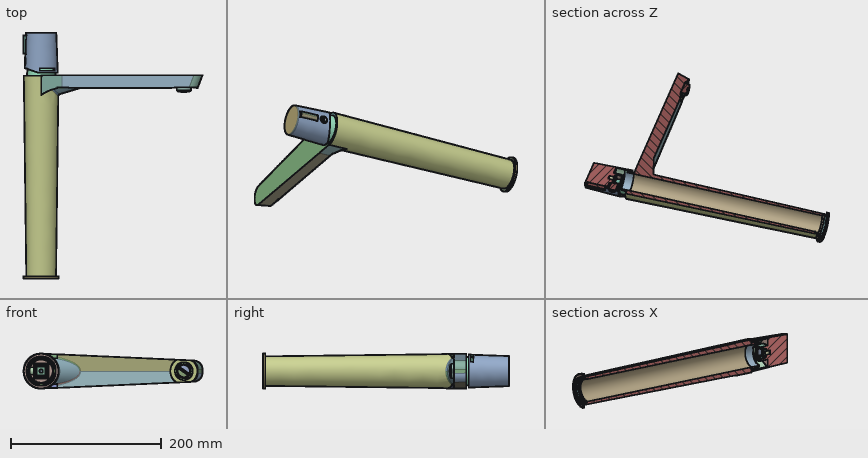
import cadquery as cq
import math


TOTAL_HEIGHT = 327.0

FLANGE_RADIUS = 23.5
FLANGE_THICKNESS = 3.3
FLANGE_CHAMFER = 0.5
FLANGE_HOLE_RADIUS = 19.3

TOWER_TOP = 269.7
TOWER_FOOT_RADIUS = 20.0
TOWER_TOP_RADIUS = 23.2
SPIGOT_LENGTH = 1.3
ENTRY_RADIUS = 17.0
ENTRY_DEPTH = 5.0
COUNTERBORE_RADIUS = 16.5
COUNTERBORE_DEPTH = 7.5
BORE_RADIUS = 15.5

SPOUT_TOP = 270.5
SPOUT_KEEL = 253.0
SPOUT_REACH = 214.5
SPOUT_ROOT_HALF_WIDTH = 23.2
SPOUT_KINK_X = 27.0
SPOUT_KINK_HALF_WIDTH = 22.2
SPOUT_TIP_HALF_WIDTH = 13.7
SPOUT_TIP_SLANT = 6.5
SPOUT_TIP_FILLET = 11.8
KEEL_RISE = 1.0

SKIRT_BOTTOM = 244.0
SKIRT_LENGTH = 21.3
SKIRT_MIDDLE_X = 9.8
SKIRT_MIDDLE_Y = 249.5

GUSSET_RADIUS = 21.0
GUSSET_TIP_X = 51.3
GUSSET_TILT = 17.0
GUSSET_FILLET = 2.3

AERATOR_X = 189.5
PAD_RADIUS = 18.0
PAD_LEVEL = 254.0
AERATOR_HOLE_RADIUS = 11.95
AERATOR_HOLE_DEPTH = 1.5
AERATOR_RADIUS = 9.5
AERATOR_SHOULDER = 250.5
AERATOR_RIM = 248.8
AERATOR_RIM_RADIUS = 8.2
AERATOR_BOTTOM = 247.8
COIN_SLOT_WIDTH = 2.3
COIN_SLOT_DEPTH = 1.5
COIN_SLOT_ANGLE = 35.0

NECK_RADIUS = 19.3
NECK_BORE_RADIUS = BORE_RADIUS
NECK_MIDDLE_RADIUS = 18.5
NECK_TOP = 282.5
NECK_TOP_RADIUS = 17.0

HANDLE_BOTTOM = 273.3
HANDLE_BOTTOM_RADIUS = 22.2
HANDLE_TOP_RADIUS = 20.3
HANDLE_TOP_FILLET = 1.0
RELIEF_X = -3.0
RELIEF_EDGE_Y = 280.0
CAVITY_RADIUS = NECK_RADIUS
CAVITY_TOP = 295.5
WINDOW_BOTTOM = 276.3
WINDOW_HEIGHT = 3.3
WINDOW_ANGLE = 60.0
WINDOW_START = -5.0

SOCKET_BOTTOM = 282.8
SOCKET_BOSS_SIZE = 20.3
SOCKET_LEAD_SIZE = 17.5
SOCKET_LEAD_DEPTH = 1.5
SOCKET_SIZE = 13.7
SOCKET_DEPTH = 8.2
INNER_SOCKET_SIZE = 11.0
INNER_SOCKET_DEPTH = 2.0
SOCKET_SCREW_DIAMETER = 4.5
SOCKET_SCREW_DEPTH = 6.5

BUTTON_Y = 288.7
BUTTON_RADIUS = 5.07
BUTTON_INNER_X = -8.2
BUTTON_OUTER_X = -21.5
BUTTON_CHAMFER = 1.0

BAR_CENTRE_Y = 311.0
BAR_LENGTH = 25.0
BAR_WIDTH = 8.2
BAR_INNER_X = -17.0
BAR_OUTER_X = -23.5
BAR_FILLET = 3.5
BAR_POCKET_GAP = 0.3


def tower_plane(height):
    """Plane across the tower axis, whose normal points up the tower."""
    return cq.Workplane(cq.Plane((0, height, 0), (1, 0, 0), (0, 1, 0)))


def disc(radius, bottom, top, x=0.0):
    return tower_plane(bottom).center(x, 0).circle(radius).extrude(top - bottom)


def square_block(size, bottom, top):
    return tower_plane(bottom).rect(size, size).extrude(top - bottom)


def revolved(profile):
    """Turn a closed (radius, height) profile about the tower axis."""
    return profile.close().revolve(360, (0, 0, 0), (0, 1, 0))


def cone(bottom_radius, bottom, top_radius, top):
    outline = cq.Workplane("XY").polyline([(0, bottom), (bottom_radius, bottom), (top_radius, top), (0, top)])
    return revolved(outline)


def edges_between(body, x_range, y_range):
    """Edges whose middle lies in the X and Y ranges, within the gusset's width."""
    low = (x_range[0], y_range[0], -GUSSET_RADIUS)
    high = (x_range[1], y_range[1], GUSSET_RADIUS)
    return body.edges(cq.selectors.BoxSelector(low, high))


def make_flange():
    ring = disc(FLANGE_RADIUS, 0, FLANGE_THICKNESS)
    ring = ring.faces("<Y").edges().chamfer(FLANGE_CHAMFER)
    return ring.cut(disc(FLANGE_HOLE_RADIUS, 0, FLANGE_THICKNESS))


def spout_plan(bottom, top):
    """The spout's tapered outline seen along the tower axis, as a prism."""
    root, kink, tip = SPOUT_ROOT_HALF_WIDTH, SPOUT_KINK_HALF_WIDTH, SPOUT_TIP_HALF_WIDTH
    outline = [
        (0, root), (SPOUT_KINK_X, kink), (SPOUT_REACH, tip),
        (SPOUT_REACH, -tip), (SPOUT_KINK_X, -kink), (0, -root),
    ]
    return tower_plane(bottom).polyline(outline).close().extrude(top - bottom)


def make_spout():
    root, tip = SPOUT_ROOT_HALF_WIDTH, SPOUT_TIP_HALF_WIDTH
    spout = spout_plan(SPOUT_KEEL, SPOUT_TOP)

    side = [
        (0, SPOUT_KEEL), (SPOUT_REACH - SPOUT_TIP_SLANT, SPOUT_KEEL),
        (SPOUT_REACH, SPOUT_TOP), (0, SPOUT_TOP),
    ]
    spout = spout.intersect(cq.Workplane("XY").polyline(side).close().extrude(root, both=True))
    middle_height = (SPOUT_KEEL + SPOUT_TOP) / 2
    slanted_corners = edges_between(
        spout, (SPOUT_REACH - SPOUT_TIP_SLANT, SPOUT_REACH), (middle_height - 3.3, middle_height + 3.3))
    spout = slanted_corners.filter(lambda edge: abs(edge.Center().z) > tip / 2).fillet(SPOUT_TIP_FILLET)

    keel = [
        (SPOUT_KEEL, 0), (SPOUT_KEEL + KEEL_RISE, root), (SPOUT_TOP, root),
        (SPOUT_TOP, -root), (SPOUT_KEEL + KEEL_RISE, -root),
    ]
    spout = spout.intersect(cq.Workplane("YZ").polyline(keel).close().extrude(SPOUT_REACH))
    return spout.cut(disc(PAD_RADIUS, SPOUT_KEEL - 3.3, PAD_LEVEL, AERATOR_X))


def make_skirt():
    """Wedge between the spout's side walls whose curved underside ends level with the keel."""
    ceiling = SPOUT_KEEL + KEEL_RISE
    profile = (
        cq.Workplane("XY")
        .moveTo(0, ceiling)
        .lineTo(0, SKIRT_BOTTOM)
        .threePointArc((SKIRT_MIDDLE_X, SKIRT_MIDDLE_Y), (SKIRT_LENGTH, SPOUT_KEEL))
        .lineTo(SKIRT_LENGTH, ceiling)
        .close()
    )
    wedge = profile.extrude(SPOUT_ROOT_HALF_WIDTH, both=True)
    return wedge.intersect(spout_plan(SKIRT_BOTTOM, ceiling))


def make_gusset():
    """Tilted cylinder whose lowest line rises to the keel at the gusset tip."""
    tilt = math.radians(GUSSET_TILT)
    along = (math.cos(tilt), math.sin(tilt), 0)
    length = GUSSET_TIP_X / math.cos(tilt)
    start = (
        -GUSSET_RADIUS * math.sin(tilt),
        SPOUT_KEEL - GUSSET_TIP_X * math.tan(tilt) + GUSSET_RADIUS * math.cos(tilt),
        0,
    )
    boss = cq.Workplane(cq.Plane(start, (0, 0, 1), along)).circle(GUSSET_RADIUS).extrude(2 * length)
    below_spout = cq.Workplane("XY").box(2 * GUSSET_TIP_X, SPOUT_TOP, 4 * GUSSET_RADIUS)
    below_spout = below_spout.translate((GUSSET_TIP_X, SPOUT_KEEL + KEEL_RISE - SPOUT_TOP / 2, 0))
    return boss.intersect(below_spout)


def make_arm(gusset):
    """Spout and gusset together, with the gusset's run-out into the underside rounded."""
    arm = make_spout().union(gusset)
    run_out = edges_between(arm, (0, GUSSET_TIP_X + 3.3), (SPOUT_KEEL - KEEL_RISE, SPOUT_KEEL + KEEL_RISE))
    return run_out.fillet(GUSSET_FILLET)


def make_tower():
    gusset = make_gusset()
    tower = cone(TOWER_FOOT_RADIUS, FLANGE_THICKNESS, TOWER_TOP_RADIUS, TOWER_TOP).union(gusset)
    corner = edges_between(tower, (GUSSET_FILLET, TOWER_TOP_RADIUS), (0, SPOUT_KEEL + 2 * KEEL_RISE))
    tower = corner.fillet(GUSSET_FILLET)
    tower = tower.union(make_arm(gusset)).union(make_skirt())
    tower = tower.union(disc(FLANGE_HOLE_RADIUS, FLANGE_THICKNESS - SPIGOT_LENGTH, FLANGE_THICKNESS))
    tower = tower.cut(disc(BORE_RADIUS, 0, SPOUT_TOP))
    tower = tower.cut(disc(COUNTERBORE_RADIUS, 0, COUNTERBORE_DEPTH))
    tower = tower.cut(disc(ENTRY_RADIUS, 0, ENTRY_DEPTH))
    tower = tower.cut(disc(NECK_RADIUS, TOWER_TOP, SPOUT_TOP))
    seat_top = PAD_LEVEL + AERATOR_HOLE_DEPTH
    return tower.cut(disc(AERATOR_HOLE_RADIUS, PAD_LEVEL - 3.3, seat_top, AERATOR_X))


def make_aerator():
    top = PAD_LEVEL + AERATOR_HOLE_DEPTH
    dome_middle = AERATOR_BOTTOM + (AERATOR_RIM - AERATOR_BOTTOM) / 4
    profile = (
        cq.Workplane("XY")
        .moveTo(0, top)
        .lineTo(AERATOR_RADIUS, top)
        .lineTo(AERATOR_RADIUS, AERATOR_SHOULDER)
        .lineTo(AERATOR_RIM_RADIUS, AERATOR_RIM)
        .threePointArc((AERATOR_RIM_RADIUS / 2, dome_middle), (0, AERATOR_BOTTOM))
    )
    aerator = revolved(profile)
    slot = cq.Workplane("XY").box(2 * AERATOR_RADIUS, 2 * COIN_SLOT_DEPTH, COIN_SLOT_WIDTH)
    slot = slot.rotate((0, 0, 0), (0, 1, 0), COIN_SLOT_ANGLE)
    slot = slot.translate((0, AERATOR_BOTTOM, 0))
    return aerator.cut(slot).translate((AERATOR_X, 0, 0))


def make_neck():
    profile = (
        cq.Workplane("XY")
        .moveTo(NECK_BORE_RADIUS, TOWER_TOP)
        .lineTo(NECK_RADIUS, TOWER_TOP)
        .threePointArc((NECK_MIDDLE_RADIUS, (TOWER_TOP + NECK_TOP) / 2), (NECK_TOP_RADIUS, NECK_TOP))
        .lineTo(NECK_BORE_RADIUS, NECK_TOP)
    )
    return revolved(profile)


def make_button():
    depth = BUTTON_INNER_X - BUTTON_OUTER_X
    button = cq.Workplane("YZ", origin=(BUTTON_OUTER_X, 0, 0)).center(BUTTON_Y, 0)
    button = button.circle(BUTTON_RADIUS).extrude(depth)
    return button.faces("<X").chamfer(BUTTON_CHAMFER)


def bar_block(grow):
    depth = BAR_INNER_X - BAR_OUTER_X
    block = cq.Workplane("YZ", origin=(BAR_OUTER_X, 0, 0)).center(BAR_CENTRE_Y, 0)
    return block.rect(BAR_LENGTH + 2 * grow, BAR_WIDTH + 2 * grow).extrude(depth)


def make_bar():
    return bar_block(0).faces("<X").edges("|Y").fillet(BAR_FILLET)


def make_window():
    """Sector-shaped slot through the handle wall."""
    reach = 2 * HANDLE_BOTTOM_RADIUS
    angles = [math.radians(WINDOW_START + step * WINDOW_ANGLE / 2) for step in range(3)]
    points = [(reach * math.sin(a), -reach * math.cos(a)) for a in angles]
    sector = tower_plane(WINDOW_BOTTOM).moveTo(0, 0).lineTo(*points[0])
    sector = sector.threePointArc(points[1], points[2]).close().extrude(WINDOW_HEIGHT)
    return sector


def make_handle(button):
    handle = cone(HANDLE_BOTTOM_RADIUS, HANDLE_BOTTOM, HANDLE_TOP_RADIUS, TOTAL_HEIGHT)
    handle = handle.faces(">Y").edges().fillet(HANDLE_TOP_FILLET)
    handle = handle.cut(disc(CAVITY_RADIUS, HANDLE_BOTTOM, CAVITY_TOP))

    edge = -HANDLE_BOTTOM_RADIUS
    relief = cq.Workplane("XY").polyline([(RELIEF_X, HANDLE_BOTTOM), (edge, HANDLE_BOTTOM), (edge, RELIEF_EDGE_Y)])
    handle = handle.cut(relief.close().extrude(HANDLE_BOTTOM_RADIUS, both=True))
    handle = handle.cut(make_window())

    handle = handle.union(square_block(SOCKET_BOSS_SIZE, SOCKET_BOTTOM, CAVITY_TOP))
    socket_top = SOCKET_BOTTOM + SOCKET_DEPTH
    handle = handle.cut(square_block(SOCKET_LEAD_SIZE, SOCKET_BOTTOM, SOCKET_BOTTOM + SOCKET_LEAD_DEPTH))
    handle = handle.cut(square_block(SOCKET_SIZE, SOCKET_BOTTOM, socket_top))
    inner_top = socket_top + INNER_SOCKET_DEPTH
    handle = handle.cut(square_block(INNER_SOCKET_SIZE, socket_top, inner_top))
    handle = handle.cut(disc(SOCKET_SCREW_DIAMETER / 2, inner_top, inner_top + SOCKET_SCREW_DEPTH))

    return handle.cut(bar_block(BAR_POCKET_GAP)).cut(button)


flange = make_flange()
tower = make_tower()
aerator = make_aerator()
neck = make_neck()
button = make_button()
bar = make_bar()
handle = make_handle(button)

result = cq.Compound.makeCompound([
    flange.val(), tower.val(), aerator.val(), neck.val(), button.val(), bar.val(), handle.val(),
])